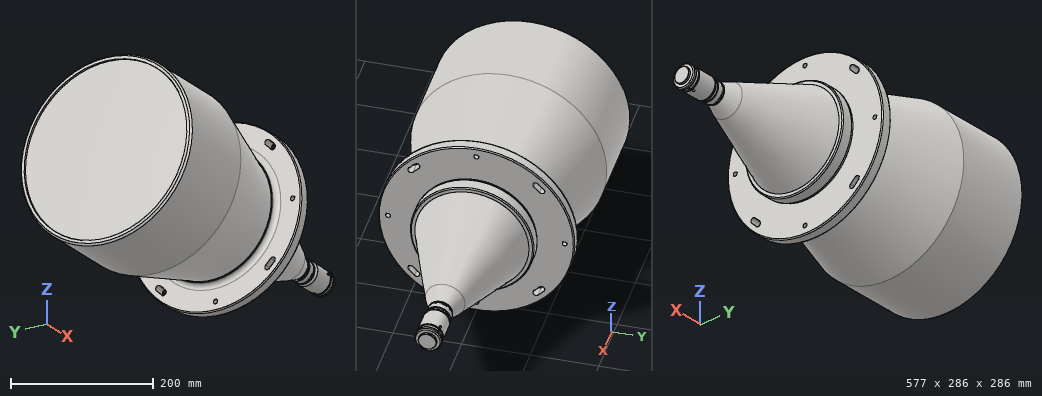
import cadquery as cq
import math

TOTAL_LENGTH = 577.0
OUTER_RADIUS = 143.0

RIM_CHAMFER = 3.0
BARREL_CYLINDER_END = 130.5
BARREL_END = 279.0
BARREL_END_RADIUS = 99.0

LENS_RADIUS = 135.5
LENS_EDGE_DEPTH = 3.5
LENS_DOME_HEIGHT = 3.0
LENS_THICKNESS = 17.5

NECK_RADIUS = 101.0
FLANGE_FRONT = 289.0
FLANGE_BACK = 307.5
FLANGE_CHAMFER = 2.0
NECK_FILLET = 8.0
SPIGOT_RADIUS = 88.0
SPIGOT_END = 310.5

BOLT_CIRCLE_RADIUS = 128.5
SLOT_COUNT = 4
SLOT_LENGTH = 21.0
SLOT_WIDTH = 8.5
SLOT_START_ANGLE = 45.0
PIN_HOLE_COUNT = 4
PIN_HOLE_DIAMETER = 7.0

COLLAR_RADIUS = 90.0
COLLAR_END = 331.5
COLLAR_CHAMFER = 2.0
CONE_START_RADIUS = 83.0
CONE_BREAK = 479.0
CONE_BREAK_RADIUS = 29.0
CONE_END = 504.0
CONE_END_RADIUS = 18.0

WAIST_RADIUS = 17.0
BEAD_START = 508.0
BEAD_END = 518.0
BEAD_RADIUS = 18.5
SLEEVE_START = 522.5
SLEEVE_TAPER_END = 527.0
SLEEVE_TAPER_RADIUS = 18.0
SLEEVE_RADIUS = 19.5
SLEEVE_END = 573.5
SLEEVE_CHAMFER = 2.0
GROOVE_START = 561.0
GROOVE_WIDTH = 2.5
GROOVE_DEPTH = 0.3
JOINT_START = 567.5
JOINT_WIDTH = 0.5
SPOUT_RADIUS = 13.0
SPOUT_CHAMFER = 0.5

SLIT_COUNT = 3
SLIT_START_ANGLE = 45.0
SLIT_START = 556.0
SLIT_WIDTH = 2.0
SLIT_DEPTH = 4.5
RELIEF_DIAMETER = 3.5


def revolve_about_axis(profile):
    """Turn a closed profile of (station, radius) points about the X axis."""
    return profile.close().revolve(360, (0, 0, 0), (1, 0, 0))


def ring_cutter(start, width, outer_radius, inner_radius):
    """Ring around the X axis that cuts a square groove."""
    ring = cq.Workplane("YZ", origin=(start, 0, 0)).circle(outer_radius).circle(inner_radius)
    return ring.extrude(width)


def make_lens():
    edge = LENS_EDGE_DEPTH
    apex = edge - LENS_DOME_HEIGHT
    dome_sphere_radius = (LENS_RADIUS**2 + LENS_DOME_HEIGHT**2) / (2 * LENS_DOME_HEIGHT)
    half_radius = LENS_RADIUS / 2
    half_station = apex + dome_sphere_radius - math.sqrt(dome_sphere_radius**2 - half_radius**2)
    back = edge + LENS_THICKNESS
    profile = (
        cq.Workplane("XY")
        .moveTo(apex, 0)
        .threePointArc((half_station, half_radius), (edge, LENS_RADIUS))
        .lineTo(back, LENS_RADIUS)
        .lineTo(back, 0)
    )
    return revolve_about_axis(profile)


def make_front_barrel():
    lens_seat = LENS_EDGE_DEPTH + LENS_THICKNESS
    profile = cq.Workplane("XZ").polyline([
        (lens_seat, 0),
        (lens_seat, LENS_RADIUS),
        (0, LENS_RADIUS),
        (0, OUTER_RADIUS - RIM_CHAMFER),
        (RIM_CHAMFER, OUTER_RADIUS),
        (BARREL_CYLINDER_END, OUTER_RADIUS),
        (BARREL_END, BARREL_END_RADIUS),
        (BARREL_END, 0),
    ])
    return revolve_about_axis(profile)


def cut_flange_holes(flange):
    thickness = FLANGE_BACK - FLANGE_FRONT
    face = cq.Workplane("YZ", origin=(FLANGE_FRONT, 0, 0))
    slot = face.center(BOLT_CIRCLE_RADIUS, 0).slot2D(SLOT_LENGTH, SLOT_WIDTH, 90).extrude(thickness)
    for index in range(SLOT_COUNT):
        angle = SLOT_START_ANGLE + index * 360 / SLOT_COUNT
        flange = flange.cut(slot.rotate((0, 0, 0), (1, 0, 0), angle))
    pin_holes = (
        face.polarArray(BOLT_CIRCLE_RADIUS, 0, 360, PIN_HOLE_COUNT)
        .circle(PIN_HOLE_DIAMETER / 2)
        .extrude(thickness)
    )
    return flange.cut(pin_holes)


def make_flange():
    arc_offset = NECK_FILLET * (1 - math.sqrt(0.5))
    profile = (
        cq.Workplane("XZ")
        .moveTo(BARREL_END, 0)
        .lineTo(BARREL_END, NECK_RADIUS)
        .lineTo(FLANGE_FRONT - NECK_FILLET, NECK_RADIUS)
        .threePointArc(
            (FLANGE_FRONT - arc_offset, NECK_RADIUS + arc_offset),
            (FLANGE_FRONT, NECK_RADIUS + NECK_FILLET),
        )
        .lineTo(FLANGE_FRONT, OUTER_RADIUS - FLANGE_CHAMFER)
        .lineTo(FLANGE_FRONT + FLANGE_CHAMFER, OUTER_RADIUS)
        .lineTo(FLANGE_BACK - FLANGE_CHAMFER, OUTER_RADIUS)
        .lineTo(FLANGE_BACK, OUTER_RADIUS - FLANGE_CHAMFER)
        .lineTo(FLANGE_BACK, SPIGOT_RADIUS)
        .lineTo(SPIGOT_END, SPIGOT_RADIUS)
        .lineTo(SPIGOT_END, 0)
    )
    return cut_flange_holes(revolve_about_axis(profile))


def make_rear_cone():
    profile = cq.Workplane("XZ").polyline([
        (SPIGOT_END, 0),
        (SPIGOT_END, COLLAR_RADIUS - COLLAR_CHAMFER),
        (SPIGOT_END + COLLAR_CHAMFER, COLLAR_RADIUS),
        (COLLAR_END - COLLAR_CHAMFER, COLLAR_RADIUS),
        (COLLAR_END, COLLAR_RADIUS - COLLAR_CHAMFER),
        (COLLAR_END, CONE_START_RADIUS),
        (CONE_BREAK, CONE_BREAK_RADIUS),
        (CONE_END, CONE_END_RADIUS),
        (CONE_END, 0),
    ])
    return revolve_about_axis(profile)


def cut_clamping_slits(mount):
    slit_floor = SLEEVE_RADIUS - SLIT_DEPTH
    slit_length = JOINT_START - SLIT_START
    base = cq.Workplane("XY", origin=(SLIT_START, 0, slit_floor))
    relief = base.circle(RELIEF_DIAMETER / 2).extrude(2 * SLIT_DEPTH)
    slit = base.center(slit_length / 2, 0).rect(slit_length, SLIT_WIDTH).extrude(2 * SLIT_DEPTH)
    cutter = relief.union(slit)
    for index in range(SLIT_COUNT):
        angle = SLIT_START_ANGLE + index * 360 / SLIT_COUNT
        mount = mount.cut(cutter.rotate((0, 0, 0), (1, 0, 0), angle - 90))
    return mount


def make_camera_mount():
    profile = cq.Workplane("XZ").polyline([
        (CONE_END, 0),
        (CONE_END, WAIST_RADIUS),
        (BEAD_START, WAIST_RADIUS),
        (BEAD_START, BEAD_RADIUS),
        (BEAD_END, BEAD_RADIUS),
        (BEAD_END, WAIST_RADIUS),
        (SLEEVE_START, WAIST_RADIUS),
        (SLEEVE_START, SLEEVE_TAPER_RADIUS),
        (SLEEVE_TAPER_END, SLEEVE_RADIUS),
        (SLEEVE_END - SLEEVE_CHAMFER, SLEEVE_RADIUS),
        (SLEEVE_END, SLEEVE_RADIUS - SLEEVE_CHAMFER),
        (SLEEVE_END, SPOUT_RADIUS),
        (TOTAL_LENGTH - SPOUT_CHAMFER, SPOUT_RADIUS),
        (TOTAL_LENGTH, SPOUT_RADIUS - SPOUT_CHAMFER),
        (TOTAL_LENGTH, 0),
    ])
    mount = revolve_about_axis(profile)
    groove_radius = SLEEVE_RADIUS - GROOVE_DEPTH
    mount = mount.cut(ring_cutter(GROOVE_START, GROOVE_WIDTH, OUTER_RADIUS, groove_radius))
    mount = mount.cut(ring_cutter(JOINT_START, JOINT_WIDTH, OUTER_RADIUS, groove_radius))
    return cut_clamping_slits(mount)


lens = make_lens()
front_barrel = make_front_barrel()
flange = make_flange()
rear_cone = make_rear_cone()
camera_mount = make_camera_mount()

result = cq.Compound.makeCompound([
    lens.val(),
    front_barrel.val(),
    flange.val(),
    rear_cone.val(),
    camera_mount.val(),
])